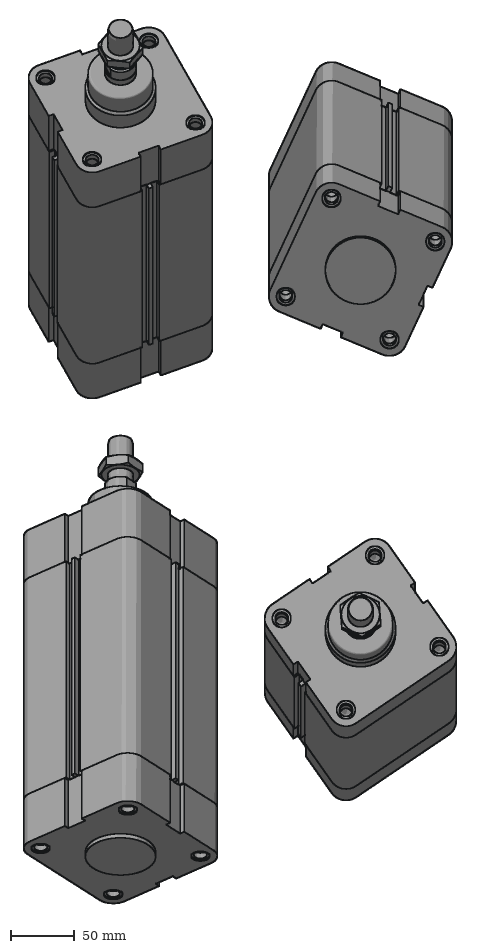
import cadquery as cq
import math

total_height = 383.0
body_length = 288.5
spigot_height = 4.0
cap_height = 44.5
head_face_z = spigot_height + body_length
barrel_length = body_length - 2 * cap_height
barrel_z = spigot_height + cap_height
head_joint_z = barrel_z + barrel_length

body_width = 115.5
half_width = body_width / 2
corner_radius = 13.8
cap_slot_depth = 4.2
cap_slot_width = 17.2
barrel_slot_depth = 4.5
barrel_slot_width = 14.5
slot_rib_width = 3.5

hole_pitch = 89.0
hole_diameter = 10.0
hole_depth = 19.0
hole_mouth_diameter = 10.5
hole_mouth_depth = 6.0
counterbore_diameter = 14.5
counterbore_depth = 1.0
drill_tip_angle = 118.0

collar_diameter = 55.0
collar_height = 17.5
guide_diameter = 51.0
guide_top_z = 327.0
guide_fillet = 2.0

rod_diameter = 25.0
wrench_diameter = 24.5
wrench_flat_width = 22.0
wrench_z = 333.2
wrench_flat_z = 334.5
shoulder_z = 343.0
thread_diameter = 20.0
relief_diameter = 19.5
relief_height = 2.5
relief_taper_height = 1.0
thread_tip_height = 3.0
thread_tip_diameter = 18.5

nut_sides = 6
nut_across_flats = 30.5
nut_height = 9.2
nut_z = 352.5
nut_chamfer_diameter = 30.0
nut_chamfer_angle = 20.0
nut_corner_diameter = nut_across_flats / math.cos(math.pi / nut_sides)

slotted_sides = (0, 90, -90)


def square_block(height):
    """Square body with rounded vertical edges, standing on Z = 0."""
    block = cq.Workplane("XY").box(body_width, body_width, height, centered=(True, True, False))
    return block.edges("|Z").fillet(corner_radius)


def side_slot(width, depth, height, side_angle):
    """Cutter for a slot along Z in the -Y side, turned to another side by side_angle."""
    slot = cq.Workplane("XY").box(width, 2 * depth, height, centered=(True, True, False))
    return slot.translate((0, -half_width, 0)).rotate((0, 0, 0), (0, 0, 1), side_angle)


def mounting_hole(face_z):
    """Cutter for a counterbored blind hole with a wider mouth and a drill tip, entering downwards at face_z."""
    hole_radius = hole_diameter / 2
    tip_height = hole_radius / math.tan(math.radians(drill_tip_angle / 2))
    return (
        cq.Workplane("XZ")
        .moveTo(0, face_z)
        .lineTo(counterbore_diameter / 2, face_z)
        .lineTo(counterbore_diameter / 2, face_z - counterbore_depth)
        .lineTo(hole_mouth_diameter / 2, face_z - counterbore_depth)
        .lineTo(hole_mouth_diameter / 2, face_z - hole_mouth_depth)
        .lineTo(hole_radius, face_z - hole_mouth_depth)
        .lineTo(hole_radius, face_z - hole_depth)
        .lineTo(0, face_z - hole_depth - tip_height)
        .close()
        .revolve(360, (0, 0), (0, 1))
    )


def make_cap():
    """End cap without its collar: joint face at Z = 0, outer face with the mounting holes on top."""
    cap = square_block(cap_height)
    for side_angle in slotted_sides:
        cap = cap.cut(side_slot(cap_slot_width, cap_slot_depth, cap_height, side_angle))
    hole = mounting_hole(cap_height)
    for x_side in (-1, 1):
        for y_side in (-1, 1):
            cap = cap.cut(hole.translate((x_side * hole_pitch / 2, y_side * hole_pitch / 2, 0)))
    return cap


def make_rear_cap():
    """Lower cap with a short centring spigot underneath."""
    cap = make_cap().mirror("XY").translate((0, 0, barrel_z))
    spigot = cq.Workplane("XY").circle(collar_diameter / 2).extrude(spigot_height)
    return cap.union(spigot)


def make_head_cap():
    """Upper cap with the stepped rod guide and the bore for the rod."""
    cap = make_cap().translate((0, 0, head_joint_z))
    collar_chamfer = (collar_diameter - guide_diameter) / 2
    collar = (
        cq.Workplane("XY", origin=(0, 0, head_face_z))
        .circle(collar_diameter / 2)
        .extrude(collar_height)
        .faces(">Z")
        .chamfer(collar_chamfer)
    )
    guide = (
        cq.Workplane("XY", origin=(0, 0, head_face_z))
        .circle(guide_diameter / 2)
        .extrude(guide_top_z - head_face_z)
        .faces(">Z")
        .fillet(guide_fillet)
    )
    rod_bore = (
        cq.Workplane("XY", origin=(0, 0, head_joint_z))
        .circle(rod_diameter / 2)
        .extrude(guide_top_z - head_joint_z)
    )
    return cap.union(collar).union(guide).cut(rod_bore)


def make_barrel():
    """Profile barrel with a pair of sensor slots on each slotted side."""
    barrel = square_block(barrel_length)
    for side_angle in slotted_sides:
        slot_pair = side_slot(barrel_slot_width, barrel_slot_depth, barrel_length, side_angle).cut(
            side_slot(slot_rib_width, barrel_slot_depth, barrel_length, side_angle)
        )
        barrel = barrel.cut(slot_pair)
    return barrel.translate((0, 0, barrel_z))


def make_rod():
    """Piston rod with wrench flats, a thread relief and a chamfered thread end."""
    relief_top_z = shoulder_z + relief_height
    rod = (
        cq.Workplane("XZ")
        .moveTo(0, head_joint_z)
        .lineTo(rod_diameter / 2, head_joint_z)
        .lineTo(rod_diameter / 2, wrench_z)
        .lineTo(wrench_diameter / 2, wrench_z)
        .lineTo(wrench_diameter / 2, shoulder_z)
        .lineTo(relief_diameter / 2, shoulder_z)
        .lineTo(relief_diameter / 2, relief_top_z)
        .lineTo(thread_diameter / 2, relief_top_z + relief_taper_height)
        .lineTo(thread_diameter / 2, total_height - thread_tip_height)
        .lineTo(thread_tip_diameter / 2, total_height)
        .lineTo(0, total_height)
        .close()
        .revolve(360, (0, 0), (0, 1))
    )
    flat_length = shoulder_z - wrench_flat_z
    flat_cutter = (
        cq.Workplane("XY", origin=(0, 0, wrench_flat_z))
        .rect(2 * rod_diameter, 2 * rod_diameter)
        .rect(2 * rod_diameter, wrench_flat_width)
        .extrude(flat_length)
    )
    return rod.cut(flat_cutter)


def make_nut():
    """Hexagon lock nut with its corners along X, corner-chamfered on both faces."""
    chamfer_width = (nut_corner_diameter - nut_chamfer_diameter) / 2
    chamfer_height = chamfer_width * math.tan(math.radians(nut_chamfer_angle))
    chamfered_disc = (
        cq.Workplane("XY")
        .circle(nut_corner_diameter / 2)
        .extrude(nut_height)
        .faces("<Z or >Z")
        .chamfer(chamfer_height, chamfer_width)
    )
    hexagon = (
        cq.Workplane("XY")
        .polygon(nut_sides, nut_corner_diameter)
        .circle(thread_diameter / 2)
        .extrude(nut_height)
    )
    return hexagon.intersect(chamfered_disc).translate((0, 0, nut_z))


rear_cap = make_rear_cap()
barrel = make_barrel()
head_cap = make_head_cap()
rod = make_rod()
nut = make_nut()

result = cq.Compound.makeCompound(
    [rear_cap.val(), barrel.val(), head_cap.val(), rod.val(), nut.val()]
)